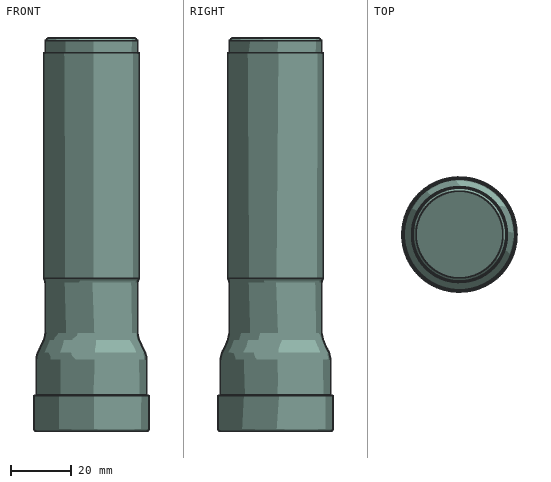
import cadquery as cq
import math

cap_diameter = 30.75
body_diameter = 31.75
neck_diameter = 30.7
collar_diameter = 36.6
base_diameter = 38.1

total_height = 130.175
body_top = 125.2
body_bottom = 50.7
collar_shoulder = 24.9
base_top = 11.9

cap_chamfer = 1.0
cone_angle = 25.0
collar_blend_radius = 5.5
relief_blend_radius = 1.9
base_fillet = 0.8
rim_chamfer = 0.2

cap_radius = cap_diameter / 2
body_radius = body_diameter / 2
neck_radius = neck_diameter / 2
collar_radius = collar_diameter / 2
base_radius = base_diameter / 2
cone_slope = math.tan(math.radians(cone_angle))
cone_top = collar_shoulder + (collar_radius - neck_radius) / cone_slope
relief_bottom = body_bottom - (body_radius - neck_radius) / cone_slope


def revolve_profile(points):
    """Solid of revolution about Z from (radius, height) points."""
    return cq.Workplane("XZ").polyline(points).close().revolve(360, (0, 0, 0), (0, 1, 0))


def edge_at(radius, height):
    """Selector box that takes in only the circular edges at one radius and height."""
    margin = 0.05
    reach = radius + margin
    return cq.selectors.BoxSelector(
        (-reach, -reach, height - margin), (reach, reach, height + margin), boundingbox=True
    )


def make_shank():
    """Base, collar, neck and body in one stepped piece."""
    shank = revolve_profile([
        (0, 0),
        (base_radius, 0),
        (base_radius, base_top),
        (collar_radius, base_top),
        (collar_radius, collar_shoulder),
        (neck_radius, cone_top),
        (neck_radius, relief_bottom),
        (body_radius, body_bottom),
        (body_radius, body_top),
        (0, body_top),
    ])
    rounded_edges = [
        (base_radius, 0, base_fillet),
        (collar_radius, collar_shoulder, collar_blend_radius),
        (neck_radius, cone_top, collar_blend_radius),
        (neck_radius, relief_bottom, relief_blend_radius),
    ]
    for radius, height, fillet_radius in rounded_edges:
        shank = shank.edges(edge_at(radius, height)).fillet(fillet_radius)
    return shank.edges(edge_at(base_radius, base_top)).chamfer(rim_chamfer)


def make_cap():
    """Chamfered disc that closes the top of the shank."""
    return revolve_profile([
        (0, body_top),
        (cap_radius, body_top),
        (cap_radius, total_height - cap_chamfer),
        (cap_radius - cap_chamfer, total_height),
        (0, total_height),
    ])


shank = make_shank()
cap = make_cap()

result = cq.Compound.makeCompound([shank.val(), cap.val()])